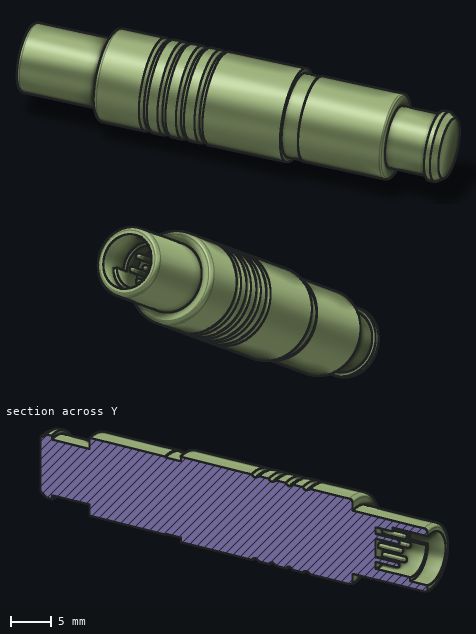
import cadquery as cq
import math

length = 56.0
body_start = 10.8
body_end = 35.7
shell_start = 37.9
shell_end = 48.95
flange_start = 54.3
flange_land = 0.8

barrel_radius = 4.5
body_radius = 6.0
neck_radius = 5.4
shell_radius = 5.5
tail_radius = 4.0
flange_radius = 4.5
flange_tip_radius = 3.85

front_rounding = 0.5
shell_rounding = 0.2

groove_count = 4
groove_start = 16.95
groove_pitch = 2.45
groove_width = 1.05
groove_depth = 0.35
groove_arc_radius = ((groove_width / 2) ** 2 + groove_depth**2) / (2 * groove_depth)

socket_radius = 3.5
guide_start = 2.5
socket_depth = 5.05
insert_radius = 2.95
insert_depth = 7.5

pin_radius = 0.365
pin_length = 3.0
pin_ring_radius = 1.85
ring_pin_count = 6


def cylinder(radius, start, end):
    """Solid cylinder on the X axis between two X positions."""
    return cq.Workplane("YZ", origin=(start, 0, 0)).circle(radius).extrude(end - start)


def grip_groove(start):
    """Ring cutter: a slope down to the middle of the groove, then a hollow arc back up."""
    return (
        cq.Workplane("XY")
        .moveTo(start, body_radius)
        .lineTo(start + groove_width / 2, body_radius - groove_depth)
        .radiusArc((start + groove_width, body_radius), -groove_arc_radius)
        .close()
        .revolve(360, (0, 0, 0), (1, 0, 0))
    )


def flange():
    """Tail flange: a short land followed by a cone down to the rear face."""
    return (
        cq.Workplane("XY")
        .moveTo(flange_start, 0)
        .lineTo(flange_start, flange_radius)
        .lineTo(flange_start + flange_land, flange_radius)
        .lineTo(length, flange_tip_radius)
        .lineTo(length, 0)
        .close()
        .revolve(360, (0, 0, 0), (1, 0, 0))
    )


def half_guide():
    """Half ring lining the lower half of the socket, with its flat ends level with the axis."""
    ring = cylinder(socket_radius, guide_start, socket_depth).cut(
        cylinder(insert_radius, guide_start, socket_depth)
    )
    lower_half = (
        cq.Workplane("XY")
        .box(length, 2 * body_radius, body_radius, centered=(False, True, False))
        .translate((0, 0, -body_radius))
    )
    return ring.intersect(lower_half)


def contact_pin(y, z):
    """Pin with a hemispherical tip standing on the floor of the socket."""
    tip_centre = insert_depth - pin_length
    tip = cq.Workplane("XY").sphere(pin_radius).translate((tip_centre, 0, 0))
    return cylinder(pin_radius, tip_centre, insert_depth).union(tip).translate((0, y, z))


barrel = cylinder(barrel_radius, 0, body_start).faces("<X").edges().fillet(front_rounding)
body = cylinder(body_radius, body_start, body_end).faces("<X").edges().fillet(front_rounding)
neck = cylinder(neck_radius, body_end, shell_start)
shell = cylinder(shell_radius, shell_start, shell_end).faces(">X").edges().fillet(shell_rounding)
tail = cylinder(tail_radius, shell_end, flange_start)
for i in range(groove_count):
    body = body.cut(grip_groove(groove_start + i * groove_pitch))
result = barrel.union(body).union(neck).union(shell).union(tail).union(flange())

result = result.cut(cylinder(socket_radius, 0, socket_depth))
result = result.cut(cylinder(insert_radius, socket_depth, insert_depth))
result = result.union(half_guide())

result = result.union(contact_pin(0, 0))
for i in range(ring_pin_count):
    angle = 2 * math.pi * i / ring_pin_count
    y = pin_ring_radius * math.cos(angle)
    z = pin_ring_radius * math.sin(angle)
    result = result.union(contact_pin(y, z))